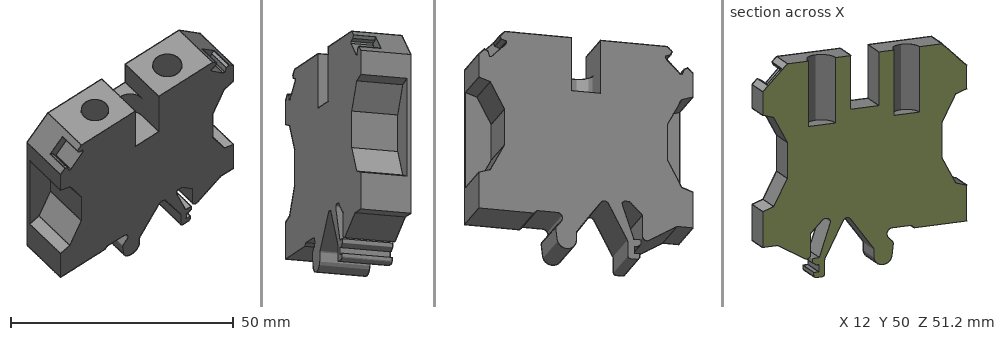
import cadquery as cq
import math

thickness = 12.0
length = 50.0
height = 51.25
half_length = length / 2
base_z = 8.7
chamfer_y = 6.05
chamfer_z = 5.85
screw_slot_width = 6.75
screw_slot_depth = 6.45
clearance = 0.5

marker_wall_x = 6.7
marker_edge_y = 20.15
marker_edge_z = 50.05
marker_length = 3.5
marker_depth = 1.6
marker_lip_in = 0.35
marker_lip_down = 0.7
marker_step_down = 1.15

recess_wall_x = 1.0
recess_bottom_z = 17.2
recess_top_z = 39.8
recess_lip_y = 2.65
recess_lip_z = 0.85
recess_depth = 6.0
recess_slope_z = 6.2

top_holes = [
    (6.25, 10.5, 6.55),
    (6.05, -10.25, 6.15),
]
top_hole_depth = 15.4
channel_x = 6.0
channel_depth = 6.15

lobe_y = 13.15
lobe_corner_z = 3.85
latch_inner_y = 9.75
latch_stem_y = 11.35
latch_tooth_z = 1.4
latch_arm_z = 4.7

toe_radius = 2.25
toe_y = -4.45
toe_bottom_z = 1.0
toe_inner_y = toe_y + toe_radius
toe_outer_y = -6.5
rail_seat_z = 9.4


def rounded_outline(corners):
    """Closed YZ outline from (y, z, corner radius) triples."""
    path = []
    for index, (y, z, radius) in enumerate(corners):
        before = corners[index - 1]
        after = corners[(index + 1) % len(corners)]
        if radius == 0:
            path.append([(y, z)])
            continue
        corner = cq.Vector(y, z, 0)
        to_before = (cq.Vector(before[0], before[1], 0) - corner).normalized()
        to_after = (cq.Vector(after[0], after[1], 0) - corner).normalized()
        half_angle = to_before.getAngle(to_after) / 2
        tangent = radius / math.tan(half_angle)
        bisector = (to_before + to_after).normalized()
        middle_distance = radius / math.sin(half_angle) - radius
        arc = [
            corner + to_before * tangent,
            corner + bisector * middle_distance,
            corner + to_after * tangent,
        ]
        path.append([(point.x, point.y) for point in arc])

    sketch = cq.Workplane("YZ").moveTo(*path[0][0])
    for index, stretch in enumerate(path):
        if index > 0:
            sketch = sketch.lineTo(*stretch[0])
        if len(stretch) == 3:
            sketch = sketch.threePointArc(stretch[1], stretch[2])
    return sketch.close()


def make_body():
    slot_y = screw_slot_width / 2
    slot_z = height - screw_slot_depth
    shoulder_y = half_length - chamfer_y
    shoulder_z = height - chamfer_z
    housing = [
        (-half_length, base_z, 0),
        (-half_length, shoulder_z, 0),
        (-shoulder_y, height, 0),
        (-slot_y, height, 0),
        (-slot_y, slot_z, 0),
        (slot_y, slot_z, 0),
        (slot_y, height, 0),
        (shoulder_y, height, 0),
        (half_length, shoulder_z, 0),
        (half_length, base_z, 0),
    ]
    clamping_lobe = [
        (21.25, base_z, 0),
        (lobe_y, lobe_corner_z, 1.0),
        (lobe_y, 10.6, 0),
        (10.1, 13.6, 0.4),
        (8.15, 13.6, 0.75),
    ]
    latch = [
        (11.15, latch_arm_z, 0),
        (12.85, latch_arm_z, 0.25),
        (12.85, 3.65, 0.15),
        (11.9, 2.95, 0.15),
        (latch_stem_y, 2.95, 0),
        (latch_stem_y, latch_tooth_z, 0),
        (12.55, latch_tooth_z, 0),
        (12.55, 0, 0.7),
        (latch_inner_y, 0, 0.7),
        (latch_inner_y, 4.15, 0.75),
    ]
    foot = [
        (4.45, 14.05, 1.0),
        (toe_inner_y, 5.05, 0.75),
        (toe_inner_y, toe_bottom_z, toe_radius),
        (toe_outer_y, toe_bottom_z, toe_radius),
        (-7.1, 6.0, 0.95),
    ]
    rail_seat = [
        (-3.85, rail_seat_z, 1.25),
        (-11.45, rail_seat_z, 0),
        (-12.15, base_z, 0),
    ]
    corners = housing + clamping_lobe + latch + foot + rail_seat
    return rounded_outline(corners).extrude(thickness)


def open_pocket(points, wall_x):
    """Cutter from wall_x out through the +X face."""
    wall = cq.Workplane("YZ", origin=(wall_x, 0, 0))
    return wall.polyline(points).close().extrude(thickness - wall_x)


def marker_notch():
    upper_wall = [
        (0, 0),
        (marker_lip_in, marker_lip_down),
        (marker_depth, marker_step_down),
        (marker_depth, marker_depth),
    ]
    upper = [(-marker_edge_y + inward, marker_edge_z - down) for inward, down in upper_wall]
    lower_y = -marker_edge_y - marker_length
    lower_z = marker_edge_z - marker_length
    lower = [(lower_y + down, lower_z - inward) for inward, down in upper_wall]
    outside = [
        (lower_y - clearance, lower_z + clearance),
        (-marker_edge_y - clearance, marker_edge_z + clearance),
    ]
    return open_pocket(upper + lower[::-1] + outside, marker_wall_x)


def end_recess():
    lip_y = -half_length + recess_lip_y
    floor_y = -half_length + recess_depth
    lower_lip_z = recess_bottom_z + recess_lip_z
    upper_lip_z = recess_top_z - recess_lip_z
    points = [
        (-half_length, recess_bottom_z),
        (lip_y, lower_lip_z),
        (floor_y, lower_lip_z + recess_slope_z),
        (floor_y, upper_lip_z - recess_slope_z),
        (lip_y, upper_lip_z),
        (-half_length, recess_top_z),
    ]
    return open_pocket(points, recess_wall_x)


def screw_channel():
    """Round-ended channel in the notch floor, open towards +X."""
    top = cq.Workplane("XY", origin=(0, 0, height - screw_slot_depth))
    round_end = top.center(channel_x, 0).circle(screw_slot_width / 2).extrude(-channel_depth)
    run = thickness - channel_x
    straight = top.center(channel_x + run / 2, 0).rect(run, screw_slot_width).extrude(-channel_depth)
    return round_end.union(straight)


result = make_body()
for cutter in (marker_notch(), end_recess()):
    result = result.cut(cutter).cut(cutter.mirror("XZ"))
for hole_x, hole_y, diameter in top_holes:
    mouth = cq.Workplane("XY", origin=(hole_x, hole_y, height))
    hole = mouth.circle(diameter / 2).extrude(-top_hole_depth)
    result = result.cut(hole)
result = result.cut(screw_channel())